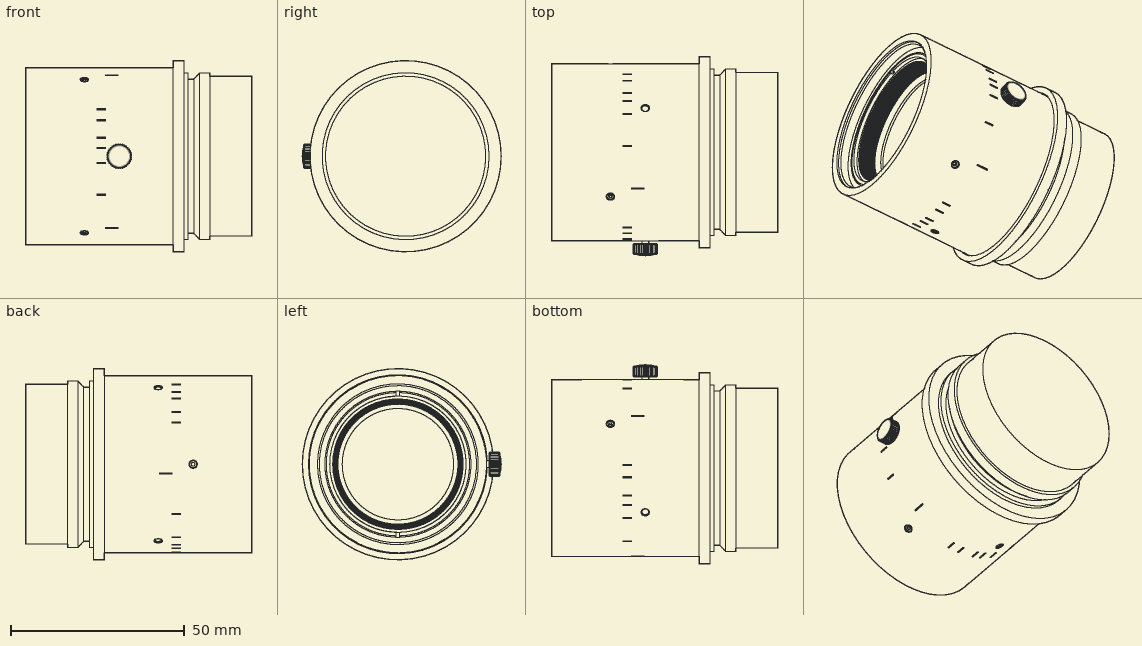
import cadquery as cq
import math

flange_start = 42.45
flange_end = 45.6
collar_end = 46.75
groove_end = 48.4
bevel_end = 50.05
ring_end = 53.0
total_length = 65.1

barrel_d = 51.0
flange_d = 55.0
collar_d = 48.0
groove_d = 44.4
rear_d = 46.0

clearance_d = 51.4
clearance_depth = 0.65

entry_d = 46.2
entry_depth = 0.6
filter_d = 45.2
filter_start = 1.05
filter_end = 3.5
moat_d = 42.0
moat_bottom = 3.8
retainer_face_d = 41.2
retainer_face_x = 3.5
retainer_bore_d = 39.2
baffle_start = 4.6
baffle_front_d = 37.5
baffle_back_d = 34.5
baffle_end = 9.2
baffle_steps = 14
lens_d = 32.0
seat_start = 10.4
lens_edge_x = 11.1
lens_sag = 3.5

notch_width = 1.0
notch_span = 42.2
notch_depth = 0.65

set_angles = (0, 120, 240)
joint_x = 23.05
mark_width = 0.3
mark_depth = 0.1
stop_angles = (-25.8, -4.4, 5.4, 12.0, 24.0, 32.0)
stop_mark_length = 2.55
index_angle = 66.0
index_mark_length = 3.5

screw_d = 2.0
screw_chamfer = 0.2
screw_recess = 0.45
socket_across_corners = 1.2
socket_depth = 1.0
grub_screw_x = 16.9
grub_screw_angles = (-60, 60, 180)
knob_x = 26.95
clamp_screw_angles = (120, 240)

knob_d = 7.15
knob_inner_y = 26.25
knob_outer_y = 29.3
knob_dome_height = 0.42
knob_chamfer = 0.3
knurl_count = 36
knurl_depth = 0.29
knurl_width = 0.5

barrel_r = barrel_d / 2


def radial_plane(x, angle, radius):
    """Plane on the barrel, normal pointing outward; angle runs from -Y toward +Z."""
    a = math.radians(angle)
    outward = (0, -math.cos(a), math.sin(a))
    origin = (x, radius * outward[1], radius * outward[2])
    return cq.Plane(origin=origin, xDir=(1, 0, 0), normal=outward)


def cap_sphere_radius(edge_radius, height):
    """Sphere radius of a cap with the given edge radius and height."""
    return (edge_radius ** 2 + height ** 2) / (2 * height)


def outer_points():
    stations = [
        (0, barrel_d), (flange_start + clearance_depth, barrel_d),
        (flange_start + clearance_depth, clearance_d), (flange_start, clearance_d),
        (flange_start, flange_d), (flange_end, flange_d),
        (flange_end, collar_d), (collar_end, collar_d),
        (collar_end, groove_d), (groove_end, groove_d),
        (bevel_end, collar_d), (ring_end, collar_d),
        (ring_end, rear_d), (total_length, rear_d),
    ]
    return [(x, d / 2) for x, d in stations]


def baffle_points():
    """Staircase narrowing toward the lens."""
    step_length = (baffle_end - baffle_start) / baffle_steps
    step_height = (baffle_front_d - baffle_back_d) / 2 / (baffle_steps - 1)
    points = []
    for i in range(baffle_steps):
        x = baffle_start + i * step_length
        r = baffle_front_d / 2 - i * step_height
        points += [(x, r), (x + step_length, r)]
    return points


def bore_points():
    entry = [
        (0, entry_d), (entry_depth, entry_d),
        (filter_start, filter_d), (filter_end, filter_d),
        (filter_end, moat_d), (moat_bottom, moat_d),
        (retainer_face_x, retainer_face_d),
        (retainer_face_x, retainer_bore_d), (baffle_start, retainer_bore_d),
    ]
    seat = [(seat_start, lens_d), (lens_edge_x, lens_d)]
    points = [(x, d / 2) for x, d in entry]
    return points + baffle_points() + [(x, d / 2) for x, d in seat]


def make_barrel():
    lens_apex = (lens_edge_x - lens_sag, 0)
    sphere_r = cap_sphere_radius(lens_d / 2, lens_sag)
    half_angle = math.asin(lens_d / 2 / sphere_r) / 2
    lens_mid = (
        lens_apex[0] + sphere_r * (1 - math.cos(half_angle)),
        sphere_r * math.sin(half_angle),
    )
    bore = bore_points()
    profile = (
        cq.Workplane("XY")
        .polyline(bore[::-1] + outer_points() + [(total_length, 0), lens_apex])
        .threePointArc(lens_mid, bore[-1])
        .close()
    )
    return profile.revolve(360, (0, 0, 0), (1, 0, 0))


def make_notches():
    """One bar across the bore, kept to the radii of the retaining ring."""
    bar = cq.Workplane("XY").box(notch_depth, notch_width, notch_span, centered=(False, True, True))
    bar = bar.translate((retainer_face_x, 0, 0))
    core = cq.Workplane("YZ").circle(retainer_bore_d / 2 - notch_width).extrude(total_length)
    return bar.cut(core)


def make_mark(x_start, length, angle):
    plane = radial_plane(x_start + length / 2, angle, barrel_r - mark_depth)
    return cq.Workplane(plane).rect(length, mark_width).extrude(2 * mark_depth)


def make_scale_marks():
    marks = []
    for set_angle in set_angles:
        for stop in stop_angles:
            marks.append(make_mark(joint_x - stop_mark_length, stop_mark_length, set_angle + stop))
        marks.append(make_mark(joint_x, index_mark_length, set_angle + index_angle))
    return marks


def make_screw_recess(x, angle):
    """Shallow round recess with a countersunk mouth."""
    plane = radial_plane(x, angle, barrel_r)
    recess = cq.Workplane(plane).circle(screw_d / 2).extrude(-screw_recess)
    mouth = (
        cq.Workplane(plane)
        .circle(screw_d / 2 + screw_chamfer)
        .workplane(offset=-screw_chamfer)
        .circle(screw_d / 2)
        .loft()
    )
    return recess.union(mouth)


def make_socket(x, angle):
    plane = radial_plane(x, angle, barrel_r)
    depth = screw_recess + socket_depth
    return cq.Workplane(plane).polygon(6, socket_across_corners).extrude(-depth)


def make_knob():
    head_plane = radial_plane(knob_x, 0, knob_inner_y)
    head_length = knob_outer_y - knob_inner_y
    head = cq.Workplane(head_plane).circle(knob_d / 2).extrude(head_length)
    head = head.faces("<Y or >Y").chamfer(knob_chamfer)
    v_groove = [
        (knob_d / 2 - knurl_depth, 0),
        (knob_d / 2, knurl_width / 2),
        (knob_d / 2 + knurl_depth, 0),
        (knob_d / 2, -knurl_width / 2),
    ]
    groove = cq.Workplane(head_plane).polyline(v_groove).close().extrude(head_length)
    for i in range(knurl_count):
        turn = i * 360 / knurl_count
        head = head.cut(groove.rotate((knob_x, 0, 0), (knob_x, 1, 0), turn))
    stem_length = knob_inner_y - barrel_r + screw_d
    stem = cq.Workplane(head_plane).circle(screw_d / 2).extrude(-stem_length)
    return head.union(make_knob_dome()).union(stem)


def make_knob_dome():
    """Shallow spherical cap on the outer end of the knob."""
    cap_r = knob_d / 2 - knurl_depth - knob_chamfer
    knob_tip_y = knob_outer_y + knob_dome_height
    sphere_r = cap_sphere_radius(cap_r, knob_dome_height)
    sphere = cq.Workplane("XY").sphere(sphere_r).translate((knob_x, sphere_r - knob_tip_y, 0))
    slab = cq.Workplane(radial_plane(knob_x, 0, knob_tip_y)).circle(cap_r).extrude(-knob_dome_height)
    return sphere.intersect(slab)


result = make_barrel().cut(make_notches())
for mark in make_scale_marks():
    result = result.cut(mark)
for angle in grub_screw_angles:
    result = result.cut(make_screw_recess(grub_screw_x, angle))
    result = result.cut(make_socket(grub_screw_x, angle))
for angle in clamp_screw_angles:
    result = result.cut(make_screw_recess(knob_x, angle))
result = result.union(make_knob())